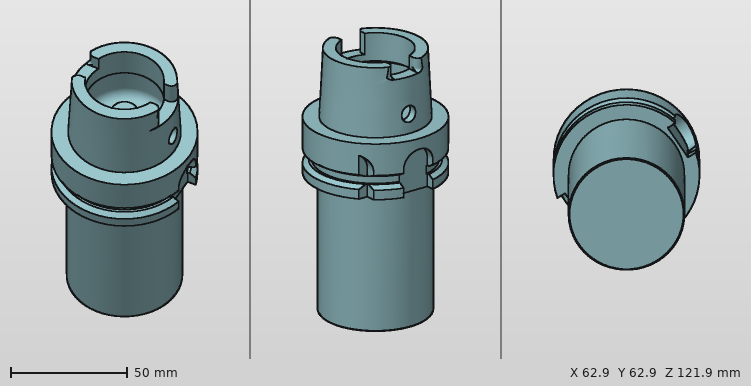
import cadquery as cq
import math

GAUGE_LENGTH = 90.0
TAPER_LENGTH = 31.9
SHANK_DIA = 50.0
SHANK_CHAMFER = 0.5

COLLAR_DIA = 62.94
COLLAR_RADIUS = COLLAR_DIA / 2
COLLAR_HEIGHT = 25.9
GROOVE_CENTER_DEPTH = 18.05
GROOVE_BOTTOM_WIDTH = 3.75
GROOVE_FLANK_ANGLE = 60.0
GROOVE_BOTTOM_RADIUS = 27.5
GROOVE_FLANK_RADIUS = 28.8

TAPER_BASE_RADIUS = 24.3
TAPER_RATIO = 1 / 10
TAPER_TOP_RADIUS = TAPER_BASE_RADIUS - TAPER_LENGTH * TAPER_RATIO / 2

BORE_RADIUS = 34.05 / 2
UNDERCUT_RADIUS = 40.08 / 2
BORE_DEPTH = 13.1
UNDERCUT_LEAD_ANGLE = 60.0
CAVITY_FLOOR_Z = 1.8
CAVITY_FLOOR_FILLET = 4.2

SPIGOT_DIA = 12.0
SPIGOT_TOP_Z = 13.5
SPIGOT_ROUNDING = 1.9

ACCESS_HOLE_DIA = 7.5
ACCESS_HOLE_Z = 8.9

KEYWAY_WIDTH = 12.4
KEYWAY_CORNER_RADIUS = 2.75
KEYWAY_MOUTH_X = 20.9
KEYWAY_FLARE_ANGLE = 26.0
KEYWAY_FLARE_LENGTH = 5.5
SHALLOW_KEYWAY_DEPTH = 6.1
DEEP_KEYWAY_DEPTH = 9.9
SHALLOW_FLOOR_FILLET = 1.5

SLOT_RADIUS = 7.9
SLOT_TOP_DEPTH = 4.9
SLOT_FLOOR_X = 26.5
NOTCH_FLOOR_X = 20.1
NOTCH_SIDE_Y = 19.7

REACH = 40.0
OVERLAP = 1.0


def revolve_profile(points):
    profile = cq.Workplane("XZ").polyline(points).close()
    return profile.revolve(360, (0, 0, 0), (0, 1, 0))


def make_body():
    shank_radius = SHANK_DIA / 2
    flank_height = (COLLAR_RADIUS - GROOVE_FLANK_RADIUS) / math.tan(math.radians(GROOVE_FLANK_ANGLE))
    groove_top = -GROOVE_CENTER_DEPTH + GROOVE_BOTTOM_WIDTH / 2
    groove_bottom = groove_top - GROOVE_BOTTOM_WIDTH
    return revolve_profile([
        (0, -GAUGE_LENGTH),
        (shank_radius - SHANK_CHAMFER, -GAUGE_LENGTH),
        (shank_radius, -GAUGE_LENGTH + SHANK_CHAMFER),
        (shank_radius, -COLLAR_HEIGHT),
        (COLLAR_RADIUS, -COLLAR_HEIGHT),
        (COLLAR_RADIUS, groove_bottom - flank_height),
        (GROOVE_FLANK_RADIUS, groove_bottom),
        (GROOVE_BOTTOM_RADIUS, groove_bottom),
        (GROOVE_BOTTOM_RADIUS, groove_top),
        (GROOVE_FLANK_RADIUS, groove_top),
        (COLLAR_RADIUS, groove_top + flank_height),
        (COLLAR_RADIUS, 0),
        (TAPER_BASE_RADIUS, 0),
        (TAPER_TOP_RADIUS, TAPER_LENGTH),
        (0, TAPER_LENGTH),
    ])


def make_cavity():
    step = UNDERCUT_RADIUS - BORE_RADIUS
    bore_end = TAPER_LENGTH - BORE_DEPTH
    undercut_top = bore_end - step / math.tan(math.radians(UNDERCUT_LEAD_ANGLE))
    cavity = revolve_profile([
        (0, CAVITY_FLOOR_Z),
        (UNDERCUT_RADIUS, CAVITY_FLOOR_Z),
        (UNDERCUT_RADIUS, undercut_top),
        (BORE_RADIUS, bore_end),
        (BORE_RADIUS, TAPER_LENGTH),
        (0, TAPER_LENGTH),
    ])
    return cavity.faces("<Z").edges().fillet(CAVITY_FLOOR_FILLET)


def make_spigot():
    root_z = CAVITY_FLOOR_Z - OVERLAP
    spigot = cq.Workplane("XY", origin=(0, 0, root_z)).circle(SPIGOT_DIA / 2).extrude(SPIGOT_TOP_Z - root_z)
    return spigot.faces(">Z").edges().fillet(SPIGOT_ROUNDING)


def make_access_holes():
    outline = cq.Workplane("YZ", origin=(0, 0, ACCESS_HOLE_Z)).circle(ACCESS_HOLE_DIA / 2)
    holes = outline.extrude(REACH, both=True)
    core = cq.Workplane("XY", origin=(0, 0, CAVITY_FLOOR_Z)).circle(BORE_RADIUS).extrude(REACH)
    return holes.cut(core)


def make_keyway(depth, floor_fillet=0):
    """Keyway on the +X side with rounded, flared mouths."""
    floor_z = TAPER_LENGTH - depth
    half_width = KEYWAY_WIDTH / 2
    center_x = KEYWAY_MOUTH_X - KEYWAY_CORNER_RADIUS
    center_y = half_width + KEYWAY_CORNER_RADIUS

    def corner_point(degrees):
        angle = math.radians(degrees)
        return (center_x + KEYWAY_CORNER_RADIUS * math.cos(angle),
                center_y + KEYWAY_CORNER_RADIUS * math.sin(angle))

    corner_middle = corner_point((KEYWAY_FLARE_ANGLE - 90) / 2)
    corner_end = corner_point(KEYWAY_FLARE_ANGLE)
    slope = math.radians(KEYWAY_FLARE_ANGLE)
    flare_end = (corner_end[0] - KEYWAY_FLARE_LENGTH * math.sin(slope),
                 corner_end[1] + KEYWAY_FLARE_LENGTH * math.cos(slope))

    def mirrored(point):
        return (point[0], -point[1])

    flared = (
        cq.Workplane("XY", origin=(0, 0, floor_z))
        .moveTo(0, half_width)
        .lineTo(center_x, half_width)
        .threePointArc(corner_middle, corner_end)
        .lineTo(*flare_end)
        .lineTo(REACH, flare_end[1])
        .lineTo(REACH, -flare_end[1])
        .lineTo(*mirrored(flare_end))
        .lineTo(*mirrored(corner_end))
        .threePointArc(mirrored(corner_middle), (center_x, -half_width))
        .lineTo(0, -half_width)
        .close()
        .extrude(depth)
    )
    if floor_fillet:
        mouth = flare_end[1]
        wall_edges = cq.selectors.BoxSelector(
            (OVERLAP, -mouth, floor_z - OVERLAP),
            (KEYWAY_MOUTH_X, mouth, floor_z + OVERLAP),
        )
        flared = flared.faces("<Z").edges(wall_edges).fillet(floor_fillet)
    straight = cq.Workplane("XY", origin=(REACH / 2, 0, floor_z)).rect(REACH, KEYWAY_WIDTH).extrude(depth)
    return flared.union(straight)


def make_round_top_slot(floor_x, center_y):
    """Slot on the +X side, open at the bottom of the collar, with a half-round upper end."""
    arc_z = -SLOT_TOP_DEPTH - SLOT_RADIUS
    return (
        cq.Workplane("YZ", origin=(floor_x, 0, 0))
        .moveTo(center_y - SLOT_RADIUS, -COLLAR_HEIGHT)
        .lineTo(center_y - SLOT_RADIUS, arc_z)
        .threePointArc((center_y, -SLOT_TOP_DEPTH), (center_y + SLOT_RADIUS, arc_z))
        .lineTo(center_y + SLOT_RADIUS, -COLLAR_HEIGHT)
        .close()
        .extrude(REACH - floor_x)
    )


def turned_to_minus_x(shape):
    return shape.rotate((0, 0, 0), (0, 0, 1), 180)


driver_slot = make_round_top_slot(SLOT_FLOOR_X, 0)
index_notch = make_round_top_slot(NOTCH_FLOOR_X, -NOTCH_SIDE_Y - SLOT_RADIUS)

result = (
    make_body()
    .cut(make_cavity())
    .union(make_spigot())
    .cut(make_access_holes())
    .cut(make_keyway(DEEP_KEYWAY_DEPTH))
    .cut(turned_to_minus_x(make_keyway(SHALLOW_KEYWAY_DEPTH, SHALLOW_FLOOR_FILLET)))
    .cut(driver_slot)
    .cut(turned_to_minus_x(driver_slot))
    .cut(turned_to_minus_x(index_notch))
)